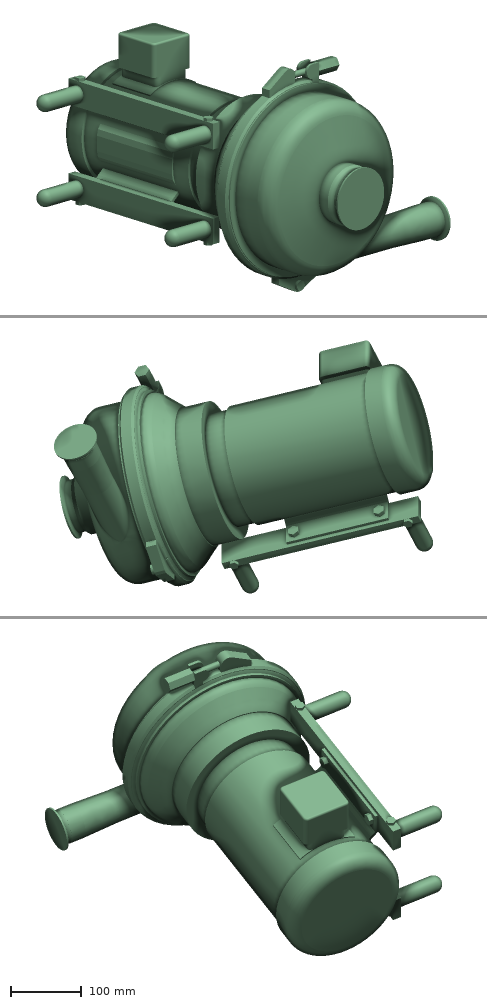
import cadquery as cq
import math


OVERALL_LENGTH = 516.5
OVERLAP = 5.0

cap_radius = 183.0 / 2
cap_length = 42.5
cap_fillet = 17.5
motor_radius = 173.0 / 2
motor_end = 254.5
neck_radius = 164.5 / 2
collar_start = 284.0
collar_radius = 100.0

back_start = 323.5
back_start_radius = 101.5
back_cone_end = 349.5
back_cone_end_radius = 125.0
back_rim_start = 362.0
back_radius = 130.0
flange_start = 364.0
flange_lip_end = 368.0
flange_end = 394.5
flange_lip_radius = 135.5
flange_radius = 280.0 / 2
casing_radius = 128.5
casing_round = 24.5
casing_round_start = 439.0
nose_end = 476.5

inlet_radius = 88.5 / 2
inlet_end = 494.5
inlet_neck_start = 501.5
inlet_step = 504.0
inlet_neck_radius = 76.5 / 2
inlet_ferrule_neck_radius = 76.0 / 2
inlet_flange_radius = 91.0 / 2

ferrule_disc = 2.5
ferrule_slope = 2.5

outlet_x = 426.5
outlet_z = -99.5
outlet_top = 231.0
outlet_radius = 47.5 / 2
outlet_wide_radius = 51.5 / 2
outlet_neck_radius = 51.0 / 2
outlet_flange_radius = 64.0 / 2
taper_start = 140.0
taper_end = 197.5
outlet_neck_start = 219.5

box_start = 56.5
box_end = 132.0
box_width = 73.5
box_bottom = 98.5
box_top = 149.0
box_edge_fillet = 6.0
box_top_fillet = 3.0
box_neck_fillet = 7.0
box_neck_width = 59.5
saddle_end = 133.0
saddle_width = 89.5
saddle_radius = 88.5

bar_start = 27.5
bar_end = 321.5
bar_inner_y = -90.0
bar_thickness = 13.0
bar_height = 38.0
bar_z = 70.0
bar_outer_y = bar_inner_y - bar_thickness
leg_radius = 25.5 / 2
leg_tip_y = -177.5
leg_positions = (45.0, 305.5)
bar_bolt_flats = 12.5
bar_bolt_head = 4.5

foot_start = 71.0
foot_end = 223.5
foot_thickness = 4.5
foot_bend_z = 50.5
foot_top_z = 83.5
foot_web_points = ((-86.0, 47.0), (-81.5, 43.5), (-73.5, 35.5))
foot_bolt_positions = (82.5, 210.5)
foot_bolt_z = 69.5
foot_bolt_flats = 14.5
foot_bolt_head = 6.5

pad_y = -89.0
pad_flat_half = 11.5
pad_shoulder_half = 20.5
pad_shoulder_y = -87.0
pad_half = 29.0
pad_edge_y = -81.0

clamp_start = 371.0
clamp_end = 392.5
clamp_radius = 144.0
clamp_chamfer = 3.0
lug_start = clamp_start + clamp_chamfer
lug_end = clamp_end - clamp_chamfer
clamp_x = (clamp_start + clamp_end) / 2
lug_root_z = 124.0
hinge_half_width = 38.5
hinge_side_z = -148.0
hinge_tip_z = -166.5
hinge_tip_half = 3.0
hinge_pin_radius = 15.0 / 2
hinge_pin_z = -156.5
hinge_pin_end = 394.0
hinge_gap = 3.0
hinge_gap_top_z = -139.5
hinge_gap_bottom_z = -144.5
swing_z = 153.5
swing_rod_radius = 10.0 / 2
swing_nut_flats = 19.0
swing_nut_end_y = 77.0
clevis_end_y = 36.5
clevis_inner_y = 13.5
clevis_top_z = 166.0
clevis_round = 11.0
clevis_plate = 4.0
latch_inner_y = -7.0
latch_top_y = -19.0
latch_top_z = 167.5
latch_shoulder_z = 157.5
latch_slope_y = -25.5
latch_slope_z = 165.0
latch_outer_y = -57.0
latch_outer_z = 144.0


def axial_cylinder(radius, start, end):
    """Cylinder on the X axis."""
    return cq.Workplane("YZ", origin=(start, 0, 0)).circle(radius).extrude(end - start)


def x_prism(points, start, end):
    """Prism along X over an outline of (y, z) points."""
    return cq.Workplane("YZ", origin=(start, 0, 0)).polyline(points).close().extrude(end - start)


def x_block(start, end, y_range, z_range):
    """Box between two corners."""
    size = (end - start, y_range[1] - y_range[0], z_range[1] - z_range[0])
    return cq.Workplane("XY").box(*size, centered=False).translate((start, y_range[0], z_range[0]))


def hexagon_across(flats):
    """Corner-to-corner diameter of a hexagon."""
    return flats / math.cos(math.pi / 6)


def make_motor():
    cap = axial_cylinder(cap_radius, 0, cap_length).faces("<X").edges().fillet(cap_fillet)
    barrel = axial_cylinder(motor_radius, cap_length, motor_end)
    neck = axial_cylinder(neck_radius, motor_end, collar_start)
    collar = axial_cylinder(collar_radius, collar_start, back_start)
    return cap.union(barrel).union(neck).union(collar)


def make_pump_head():
    """Back plate, clamped flange, casing and suction port, turned as one profile."""
    round_center_radius = casing_radius - casing_round
    run = nose_end - casing_round_start
    drop = inlet_radius - round_center_radius
    round_angle = math.acos(casing_round / math.hypot(run, drop)) + math.atan2(drop, run)

    def round_point(angle):
        return (
            casing_round_start + casing_round * math.cos(angle),
            round_center_radius + casing_round * math.sin(angle),
        )

    disc_start = OVERALL_LENGTH - ferrule_disc
    profile = (
        cq.Workplane("XY")
        .moveTo(back_start, 0)
        .lineTo(back_start, back_start_radius)
        .lineTo(back_cone_end, back_cone_end_radius)
        .tangentArcPoint((back_rim_start, back_radius), relative=False)
        .lineTo(flange_start, back_radius)
        .lineTo(flange_start, flange_lip_radius)
        .lineTo(flange_lip_end, flange_lip_radius)
        .lineTo(clamp_start, flange_radius)
        .lineTo(flange_end, flange_radius)
        .lineTo(flange_end, casing_radius)
        .lineTo(casing_round_start, casing_radius)
        .threePointArc(round_point((math.pi / 2 + round_angle) / 2), round_point(round_angle))
        .lineTo(nose_end, inlet_radius)
        .lineTo(inlet_end, inlet_radius)
        .lineTo(inlet_neck_start, inlet_neck_radius)
        .lineTo(inlet_step, inlet_neck_radius)
        .lineTo(inlet_step, inlet_ferrule_neck_radius)
        .lineTo(disc_start - ferrule_slope, inlet_ferrule_neck_radius)
        .lineTo(disc_start, inlet_flange_radius)
        .lineTo(OVERALL_LENGTH, inlet_flange_radius)
        .lineTo(OVERALL_LENGTH, 0)
        .close()
    )
    return profile.revolve(360, (0, 0, 0), (1, 0, 0))


def make_outlet():
    """Tapered discharge pipe with a ferrule; it starts inside the casing."""
    disc_start = outlet_top - ferrule_disc
    profile = (
        cq.Workplane("XY")
        .lineTo(outlet_radius, 0)
        .lineTo(outlet_radius, taper_start)
        .lineTo(outlet_wide_radius, taper_end)
        .lineTo(outlet_wide_radius, outlet_neck_start)
        .lineTo(outlet_neck_radius, outlet_neck_start)
        .lineTo(outlet_neck_radius, disc_start - ferrule_slope)
        .lineTo(outlet_flange_radius, disc_start)
        .lineTo(outlet_flange_radius, outlet_top)
        .lineTo(0, outlet_top)
        .close()
    )
    return profile.revolve(360, (0, 0, 0), (0, 1, 0)).translate((outlet_x, 0, outlet_z))


def make_terminal_box():
    half_width = box_width / 2
    half_neck = box_neck_width / 2
    half_saddle = saddle_width / 2
    box = x_block(box_start, box_end, (-half_width, half_width), (box_bottom, box_top))
    box = box.edges("|Z").fillet(box_edge_fillet).faces(">Z").edges().fillet(box_top_fillet)
    neck_base = motor_radius - OVERLAP
    neck = x_block(box_start, box_end, (-half_neck, half_neck), (neck_base, box_bottom))
    neck = neck.edges("|Z").fillet(box_neck_fillet)
    saddle = axial_cylinder(saddle_radius, box_start, saddle_end)
    saddle = saddle.intersect(
        x_block(box_start, saddle_end, (-half_saddle, half_saddle), (0, saddle_radius))
    )
    return box.union(neck).union(saddle)


def make_upper_foot():
    """Bent plate running from the motor to the inner face of the upper bar, with its bolts."""
    plate_y = bar_inner_y + foot_thickness
    bend_shift = foot_thickness * math.tan(math.pi / 8)
    web_shift = foot_thickness / math.sqrt(2)
    foot = x_prism(
        [
            (bar_inner_y, foot_top_z),
            (bar_inner_y, foot_bend_z),
            *foot_web_points,
            *[(y + web_shift, z + web_shift) for y, z in reversed(foot_web_points)],
            (plate_y, foot_bend_z + bend_shift),
            (plate_y, foot_top_z),
        ],
        foot_start,
        foot_end,
    )
    for x in foot_bolt_positions:
        head = (
            cq.Workplane("XZ", origin=(x, plate_y, foot_bolt_z))
            .transformed(rotate=(0, 0, 30))
            .polygon(6, hexagon_across(foot_bolt_flats))
            .extrude(-foot_bolt_head)
        )
        foot = foot.union(head)
    return foot


def make_upper_bar():
    """Support bar with two round-ended legs and a bolt head above each leg."""
    half_height = bar_height / 2
    bar = x_block(
        bar_start, bar_end, (bar_outer_y, bar_inner_y), (bar_z - half_height, bar_z + half_height)
    )
    for x in leg_positions:
        leg = (
            cq.Workplane("XZ", origin=(x, bar_outer_y, bar_z))
            .circle(leg_radius)
            .extrude(bar_outer_y - leg_tip_y - leg_radius)
        )
        tip = cq.Workplane("XY").sphere(leg_radius).translate((x, leg_tip_y + leg_radius, bar_z))
        bolt_head = (
            cq.Workplane("XY", origin=(x, bar_outer_y + bar_thickness / 2, bar_z + half_height))
            .polygon(6, hexagon_across(bar_bolt_flats))
            .extrude(bar_bolt_head)
        )
        bar = bar.union(leg).union(tip).union(bolt_head)
    return bar


def make_base():
    """Upper and lower supports, mirrored about the motor axis, and the pad between them."""
    upper_support = make_upper_foot().union(make_upper_bar())
    pad = x_prism(
        [
            (pad_y, pad_flat_half),
            (pad_shoulder_y, pad_shoulder_half),
            (pad_edge_y, pad_half),
            (pad_edge_y, -pad_half),
            (pad_shoulder_y, -pad_shoulder_half),
            (pad_y, -pad_flat_half),
        ],
        foot_start,
        foot_end,
    )
    return upper_support.union(upper_support.mirror("XY")).union(pad)


def make_hinge():
    """Pointed lug under the ring with the hinge pin head on one side."""
    lug = x_prism(
        [
            (-hinge_half_width, -lug_root_z),
            (-hinge_half_width, hinge_side_z),
            (-hinge_tip_half, hinge_tip_z),
            (hinge_tip_half, hinge_tip_z),
            (hinge_half_width, hinge_side_z),
            (hinge_half_width, -lug_root_z),
        ],
        lug_start,
        lug_end,
    )
    pin = axial_cylinder(hinge_pin_radius, lug_end, hinge_pin_end).translate((0, 0, hinge_pin_z))
    return lug.union(pin)


def make_closure():
    """Clevis, latch lug, and the swing rod with its long nut, on top of the ring."""
    round_y = clevis_inner_y + clevis_round
    clevis = (
        cq.Workplane("YZ", origin=(clamp_start, 0, 0))
        .moveTo(clevis_end_y, lug_root_z)
        .lineTo(clevis_end_y, clevis_top_z)
        .lineTo(round_y, clevis_top_z)
        .threePointArc(
            (clevis_inner_y, clevis_top_z - clevis_round),
            (round_y, clevis_top_z - 2 * clevis_round),
        )
        .lineTo(round_y, lug_root_z)
        .close()
        .extrude(clamp_end - clamp_start)
    )
    slot = x_block(
        clamp_start + clevis_plate,
        clamp_end - clevis_plate,
        (clevis_inner_y, clevis_end_y),
        (clamp_radius, clevis_top_z),
    )
    latch = (
        cq.Workplane("YZ", origin=(lug_start, 0, 0))
        .moveTo(latch_inner_y, lug_root_z)
        .lineTo(latch_inner_y, latch_shoulder_z)
        .threePointArc((latch_top_y, latch_top_z), (latch_slope_y, latch_slope_z))
        .lineTo(latch_outer_y, latch_outer_z)
        .lineTo(latch_outer_y, lug_root_z)
        .close()
        .extrude(lug_end - lug_start)
    )
    rod = (
        cq.Workplane("XZ", origin=(clamp_x, clevis_end_y, swing_z))
        .circle(swing_rod_radius)
        .extrude(clevis_end_y - latch_top_y)
    )
    nut = (
        cq.Workplane("XZ", origin=(clamp_x, swing_nut_end_y, swing_z))
        .polygon(6, hexagon_across(swing_nut_flats))
        .extrude(swing_nut_end_y - clevis_end_y)
    )
    return clevis.cut(slot).union(latch).union(rod).union(nut)


def make_clamp():
    ring = axial_cylinder(clamp_radius, clamp_start, clamp_end).edges().chamfer(clamp_chamfer)
    gap = x_block(
        clamp_start,
        clamp_end,
        (-hinge_gap / 2, hinge_gap / 2),
        (hinge_gap_bottom_z, hinge_gap_top_z),
    )
    bore = axial_cylinder(flange_radius, clamp_start, clamp_end)
    return ring.union(make_hinge()).union(make_closure()).cut(gap).cut(bore)


pump = make_motor().union(make_pump_head()).union(make_outlet())
pump = pump.union(make_terminal_box()).union(make_base())
clamp = make_clamp()

result = cq.Compound.makeCompound([pump.solids().val(), clamp.solids().val()])